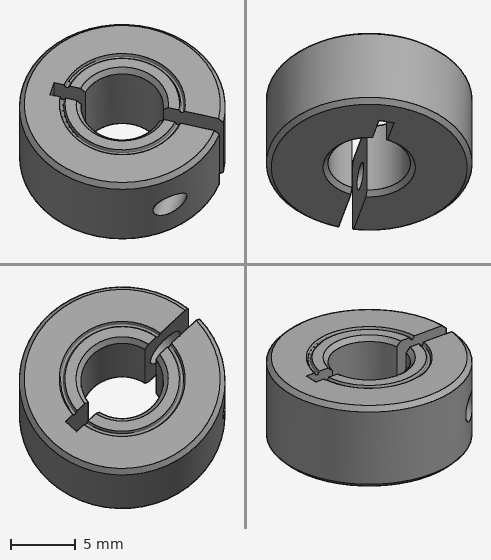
import cadquery as cq
import math

outer_diameter = 15.86
height = 7.14
bore_diameter = 6.35
edge_chamfer = 0.38

slot_width = 1.19
slot_end_x = -5.61

screw_x = 5.35
screw_hole_diameter = 2.15
head_diameter = 3.27
head_seat_y = slot_width / 2

groove_radius = 4.63
groove_half_width = 0.22
groove_bottom_radius = 0.13
groove_wall_angle = 60.0

outer_radius = outer_diameter / 2
top_z = height / 2


def make_body():
    """Ring centred on the origin with all four circular edges chamfered."""
    ring = (
        cq.Workplane("XY")
        .workplane(offset=-top_z)
        .circle(outer_radius)
        .circle(bore_diameter / 2)
        .extrude(height)
    )
    return ring.faces("<Z or >Z").edges().chamfer(edge_chamfer)


def make_groove():
    """Ring cutter whose bottom arc is tangent to both sloping walls."""
    wall_angle = math.radians(groove_wall_angle)
    arc_half_width = groove_bottom_radius * math.sin(wall_angle)
    arc_end_z = top_z - (groove_half_width - arc_half_width) * math.tan(wall_angle)
    bottom_z = arc_end_z - groove_bottom_radius * (1 - math.cos(wall_angle))
    return (
        cq.Workplane("XZ")
        .moveTo(groove_radius - groove_half_width, top_z)
        .lineTo(groove_radius - arc_half_width, arc_end_z)
        .threePointArc((groove_radius, bottom_z), (groove_radius + arc_half_width, arc_end_z))
        .lineTo(groove_radius + groove_half_width, top_z)
        .close()
        .revolve(360, (0, 0, 0), (0, 1, 0))
    )


def make_slot():
    """Full-height cutter with a square closed end."""
    slot_length = outer_radius - slot_end_x
    return (
        cq.Workplane("XY")
        .box(slot_length, slot_width, height, centered=(False, True, True))
        .translate((slot_end_x, 0, 0))
    )


def screw_cylinder(diameter, start_y):
    """Cylinder on the screw axis from start_y to the +Y extent of the collar."""
    length = outer_radius - start_y
    return cq.Workplane(
        cq.Solid.makeCylinder(
            diameter / 2, length, cq.Vector(screw_x, start_y, 0), cq.Vector(0, 1, 0)
        )
    )


result = (
    make_body()
    .cut(make_groove())
    .cut(make_slot())
    .cut(screw_cylinder(screw_hole_diameter, -outer_radius))
    .cut(screw_cylinder(head_diameter, head_seat_y))
)